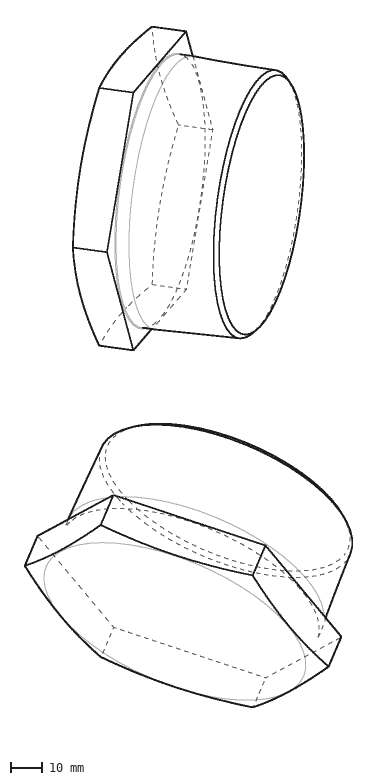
import cadquery as cq
import math

across_corners = 103.9
head_length = 13.5
head_face_diameter = 89.6
head_chamfer_angle = 15.0

total_length = 48.0
collar_diameter = 88.4
collar_length = 4.7
root_fillet = 0.3
taper_ratio = 1 / 16
end_chamfer = 1.5


def make_head():
    """Hexagon whose outer face corners are trimmed by a shallow cone."""
    hexagon = cq.Workplane("YZ").polygon(6, across_corners).extrude(head_length)
    face_radius = head_face_diameter / 2
    corner_radius = across_corners / 2
    chamfer_depth = (corner_radius - face_radius) * math.tan(math.radians(head_chamfer_angle))
    envelope = (
        cq.Workplane("XY")
        .moveTo(0, 0)
        .lineTo(0, face_radius)
        .lineTo(chamfer_depth, corner_radius)
        .lineTo(head_length, corner_radius)
        .lineTo(head_length, 0)
        .close()
        .revolve(360, (0, 0, 0), (1, 0, 0))
    )
    return hexagon.intersect(envelope)


def make_plug():
    """Revolved collar and tapered body with a filleted root and a chamfered free end."""
    collar_radius = collar_diameter / 2
    taper_start = head_length + collar_length
    chamfer_start = total_length - end_chamfer
    chamfer_radius = collar_radius - taper_ratio / 2 * (chamfer_start - taper_start)
    return (
        cq.Workplane("XY")
        .moveTo(head_length, 0)
        .lineTo(head_length, collar_radius + root_fillet)
        .radiusArc((head_length + root_fillet, collar_radius), -root_fillet)
        .lineTo(taper_start, collar_radius)
        .lineTo(chamfer_start, chamfer_radius)
        .lineTo(total_length, chamfer_radius - end_chamfer)
        .lineTo(total_length, 0)
        .close()
        .revolve(360, (0, 0, 0), (1, 0, 0))
    )


result = make_head().union(make_plug())